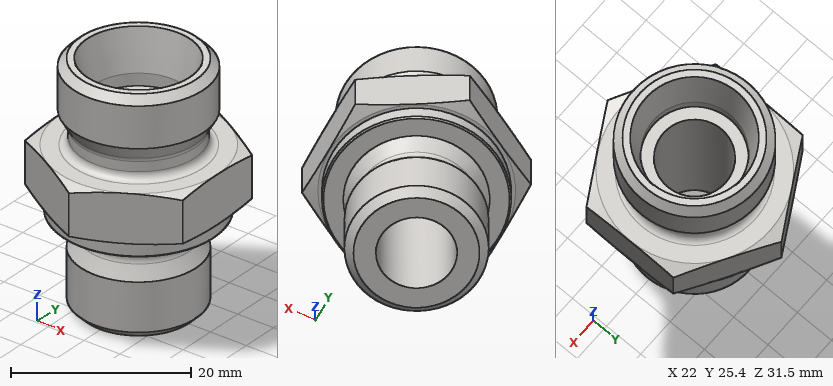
import cadquery as cq
import math

total_height = 31.5
collar_bottom = 12.0
hex_bottom = 14.02
hex_top = 20.48

across_flats = 22.02
hex_chamfer_angle = 15.0
hex_face_radius = 10.95

collar_radius = 21.0 / 2
collar_chamfer = 0.2

upper_thread_radius = 18.0 / 2
lower_thread_radius = 16.0 / 2
thread_chamfer = 1.0
upper_thread_bottom = 25.05
lower_thread_top = 7.43

runout_angle = 30.0
upper_neck_radius = 15.7 / 2
upper_neck_fillet = 1.0
lower_neck_radius = 13.67 / 2
lower_neck_height = 9.8
lower_arc_half_height = 0.6
lower_undercut_mouth_radius = 8.13
neck_blend_radius = 1.0

bore_radius = 9.0 / 2
seat_radius = 12.0 / 2
seat_mouth_radius = 14.27 / 2
seat_taper_angle = 12.0
seat_depth = 7.0


def make_body():
    """Revolve the outside of both threaded ends, the collar and a core through the hexagon."""
    runout_slope = math.tan(math.radians(runout_angle))

    blend_turn = math.radians(runout_angle)
    blend_center = upper_neck_radius + neck_blend_radius
    cone_foot_radius = blend_center - neck_blend_radius * math.cos(blend_turn)
    cone_foot_height = upper_thread_bottom - (upper_thread_radius - cone_foot_radius) / runout_slope
    neck_top = cone_foot_height - neck_blend_radius * math.sin(blend_turn)
    blend_mid_radius = blend_center - neck_blend_radius * math.cos(blend_turn / 2)
    blend_mid_height = neck_top + neck_blend_radius * math.sin(blend_turn / 2)

    fillet_center_radius = upper_neck_radius + upper_neck_fillet
    fillet_center_height = hex_top + upper_neck_fillet
    fillet_mid_offset = upper_neck_fillet * math.sqrt(0.5)

    arc_bottom = lower_neck_height - lower_arc_half_height
    arc_top = lower_neck_height + lower_arc_half_height
    arc_end_radius = lower_thread_radius - (arc_bottom - lower_thread_top) * runout_slope

    profile = (
        cq.Workplane("XZ")
        .moveTo(0, 0)
        .lineTo(lower_thread_radius - thread_chamfer, 0)
        .lineTo(lower_thread_radius, thread_chamfer)
        .lineTo(lower_thread_radius, lower_thread_top)
        .lineTo(arc_end_radius, arc_bottom)
        .threePointArc((lower_neck_radius, lower_neck_height), (arc_end_radius, arc_top))
        .lineTo(lower_undercut_mouth_radius, collar_bottom)
        .lineTo(collar_radius - collar_chamfer, collar_bottom)
        .lineTo(collar_radius, collar_bottom + collar_chamfer)
        .lineTo(collar_radius, hex_top)
        .lineTo(fillet_center_radius, hex_top)
        .threePointArc(
            (fillet_center_radius - fillet_mid_offset, fillet_center_height - fillet_mid_offset),
            (upper_neck_radius, fillet_center_height),
        )
        .lineTo(upper_neck_radius, neck_top)
        .threePointArc((blend_mid_radius, blend_mid_height), (cone_foot_radius, cone_foot_height))
        .lineTo(upper_thread_radius, upper_thread_bottom)
        .lineTo(upper_thread_radius, total_height - thread_chamfer)
        .lineTo(upper_thread_radius - thread_chamfer, total_height)
        .lineTo(0, total_height)
        .close()
    )
    return profile.revolve(360, (0, 0, 0), (0, 1, 0))


def make_hexagon():
    """Hexagon with flats facing +X and -X and conically chamfered corners."""
    corner_radius = across_flats / 2 / math.cos(math.radians(30))
    chamfer_height = (corner_radius - hex_face_radius) * math.tan(math.radians(hex_chamfer_angle))
    prism = (
        cq.Workplane("XY", origin=(0, 0, hex_bottom))
        .polygon(6, 2 * corner_radius)
        .extrude(hex_top - hex_bottom)
        .rotate((0, 0, 0), (0, 0, 1), 30)
    )
    chamfer_envelope = (
        cq.Workplane("XZ")
        .moveTo(0, hex_bottom)
        .lineTo(hex_face_radius, hex_bottom)
        .lineTo(corner_radius, hex_bottom + chamfer_height)
        .lineTo(corner_radius, hex_top - chamfer_height)
        .lineTo(hex_face_radius, hex_top)
        .lineTo(0, hex_top)
        .close()
        .revolve(360, (0, 0, 0), (0, 1, 0))
    )
    return prism.intersect(chamfer_envelope)


def make_bore():
    """Through bore opening into a cylindrical seat and a tapered mouth at the upper end."""
    taper_depth = (seat_mouth_radius - seat_radius) / math.tan(math.radians(seat_taper_angle))
    return (
        cq.Workplane("XZ")
        .moveTo(0, 0)
        .lineTo(bore_radius, 0)
        .lineTo(bore_radius, total_height - seat_depth)
        .lineTo(seat_radius, total_height - seat_depth)
        .lineTo(seat_radius, total_height - taper_depth)
        .lineTo(seat_mouth_radius, total_height)
        .lineTo(0, total_height)
        .close()
        .revolve(360, (0, 0, 0), (0, 1, 0))
    )


result = make_body().union(make_hexagon()).cut(make_bore())